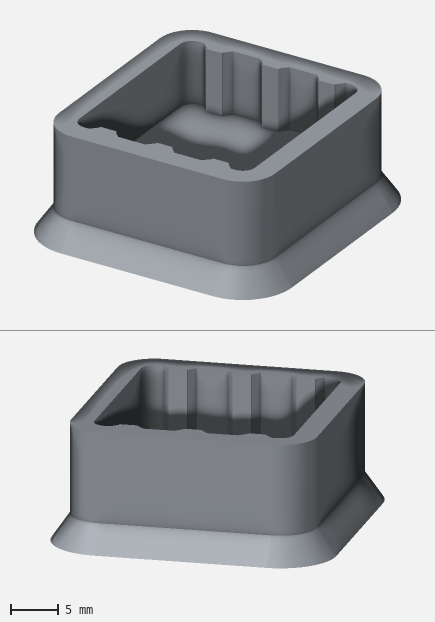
import cadquery as cq

foot_length_x = 31.0
foot_length_y = 32.5
total_height = 13.0
flare_height = 3.0
flare_overhang = 2.08
body_corner_radius = 4.0

body_length_x = foot_length_x - 2 * flare_overhang
body_length_y = foot_length_y - 2 * flare_overhang
foot_corner_radius = body_corner_radius + flare_overhang

wall_thickness = 2.55
pocket_depth = 7.5
pocket_corner_radius = 1.5

pocket_length_x = body_length_x - 2 * wall_thickness
pocket_length_y = body_length_y - 2 * wall_thickness
pocket_floor = total_height - pocket_depth

ribs_per_wall = 3
rib_spacing = 7.0
rib_projection = 1.0
rib_tip_width = 2.0
rib_tip_step = 0.2

rib_flank_rise = rib_projection - rib_tip_step
rib_root_width = rib_tip_width + 2 * rib_flank_rise


def rounded_rectangle(length_x, length_y, radius):
    return cq.Sketch().rect(length_x, length_y).vertices().fillet(radius)


def make_foot():
    """Flared foot, narrowing upward from the base outline to the body outline."""
    base = rounded_rectangle(foot_length_x, foot_length_y, foot_corner_radius)
    top = rounded_rectangle(body_length_x, body_length_y, body_corner_radius)
    raised_top = top.moved(cq.Location(cq.Vector(0, 0, flare_height)))
    return cq.Workplane("XY").placeSketch(base, raised_top).loft()


def make_body():
    outline = rounded_rectangle(body_length_x, body_length_y, body_corner_radius)
    return (
        cq.Workplane("XY", origin=(0, 0, flare_height))
        .placeSketch(outline)
        .extrude(total_height - flare_height)
    )


def make_rib(center_x, side):
    """Rib on the +Y (side = 1) or -Y (side = -1) pocket wall."""
    root_y = side * pocket_length_y / 2
    flank_end_y = side * (pocket_length_y / 2 - rib_flank_rise)
    tip_y = side * (pocket_length_y / 2 - rib_projection)
    return (
        cq.Workplane("XY", origin=(center_x, 0, pocket_floor))
        .polyline([
            (-rib_root_width / 2, root_y),
            (-rib_tip_width / 2, flank_end_y),
            (-rib_tip_width / 2, tip_y),
            (rib_tip_width / 2, tip_y),
            (rib_tip_width / 2, flank_end_y),
            (rib_root_width / 2, root_y),
        ])
        .close()
        .extrude(pocket_depth)
    )


def make_pocket():
    """Volume to remove: the rounded pocket with the ribs left standing."""
    outline = rounded_rectangle(pocket_length_x, pocket_length_y, pocket_corner_radius)
    pocket = cq.Workplane("XY", origin=(0, 0, pocket_floor)).placeSketch(outline)
    pocket = pocket.extrude(pocket_depth)
    for side in (-1, 1):
        for index in range(ribs_per_wall):
            center_x = (index - (ribs_per_wall - 1) / 2) * rib_spacing
            pocket = pocket.cut(make_rib(center_x, side))
    return pocket


result = make_foot().union(make_body()).cut(make_pocket())